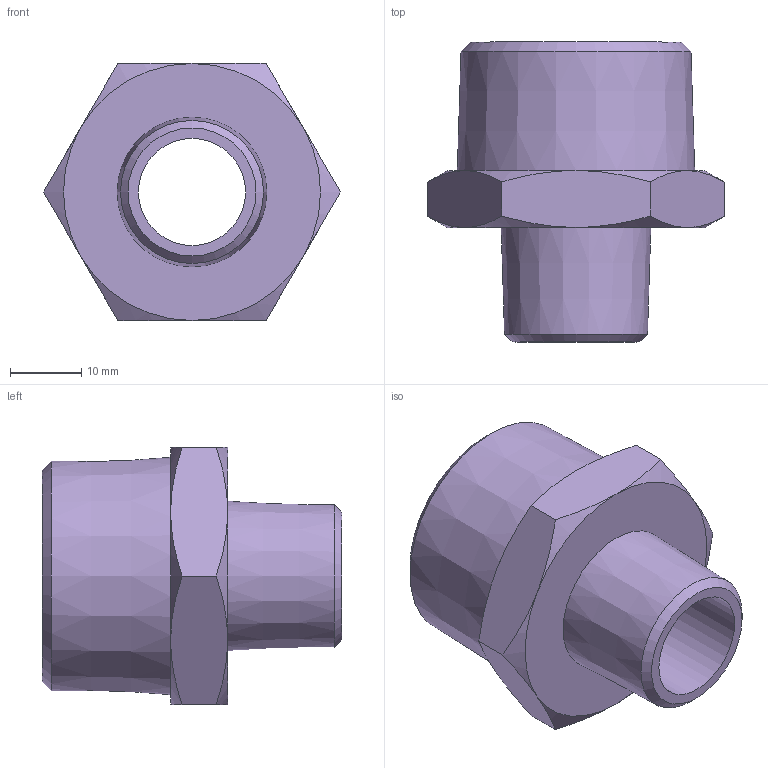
import cadquery as cq
import math

hex_sides = 6
hex_across_flats = 36.0
hex_thickness = 8.0
hex_chamfer_angle = 30.0

thread_taper = 1 / 16

small_root_diameter = 20.955
small_length = 16.0
small_chamfer = 1.05

large_root_diameter = 33.249
large_length = 18.0
large_chamfer = 1.3

bore_diameter = 15.0

hex_across_corners = hex_across_flats / math.cos(math.pi / hex_sides)
total_length = small_length + hex_thickness + large_length


def revolve_about_y(profile):
    """Turn a closed (radius, y) profile about the Y axis."""
    return cq.Workplane("XY").polyline(profile).close().revolve(360, (0, 0, 0), (0, 1, 0))


def tapered_spigot(root_diameter, length, chamfer, root_y, direction):
    """Solid spigot growing from root_y along +Y (direction 1) or -Y (direction -1)."""
    root_radius = root_diameter / 2
    tapered_length = length - chamfer
    tip_radius = root_radius - tapered_length * thread_taper / 2
    tip_y = root_y + direction * length
    return revolve_about_y([
        (0, root_y),
        (root_radius, root_y),
        (tip_radius, root_y + direction * tapered_length),
        (tip_radius - chamfer, tip_y),
        (0, tip_y),
    ])


def chamfered_hexagon():
    """Hexagon with corners on the X axis, both faces chamfered down to the inscribed circle."""
    prism = (
        cq.Workplane("XZ")
        .polygon(hex_sides, hex_across_corners)
        .extrude(-hex_thickness)
    )
    face_radius = hex_across_flats / 2
    corner_radius = hex_across_corners / 2
    chamfer_depth = (corner_radius - face_radius) * math.tan(math.radians(hex_chamfer_angle))
    envelope = revolve_about_y([
        (0, 0),
        (face_radius, 0),
        (corner_radius, chamfer_depth),
        (corner_radius, hex_thickness - chamfer_depth),
        (face_radius, hex_thickness),
        (0, hex_thickness),
    ])
    return prism.intersect(envelope)


def through_bore():
    """Cylinder along the whole length of the part."""
    return (
        cq.Workplane("XZ", origin=(0, -small_length, 0))
        .circle(bore_diameter / 2)
        .extrude(-total_length)
    )


small_spigot = tapered_spigot(small_root_diameter, small_length, small_chamfer, 0, -1)
large_spigot = tapered_spigot(large_root_diameter, large_length, large_chamfer, hex_thickness, 1)

result = chamfered_hexagon().union(small_spigot).union(large_spigot).cut(through_bore())